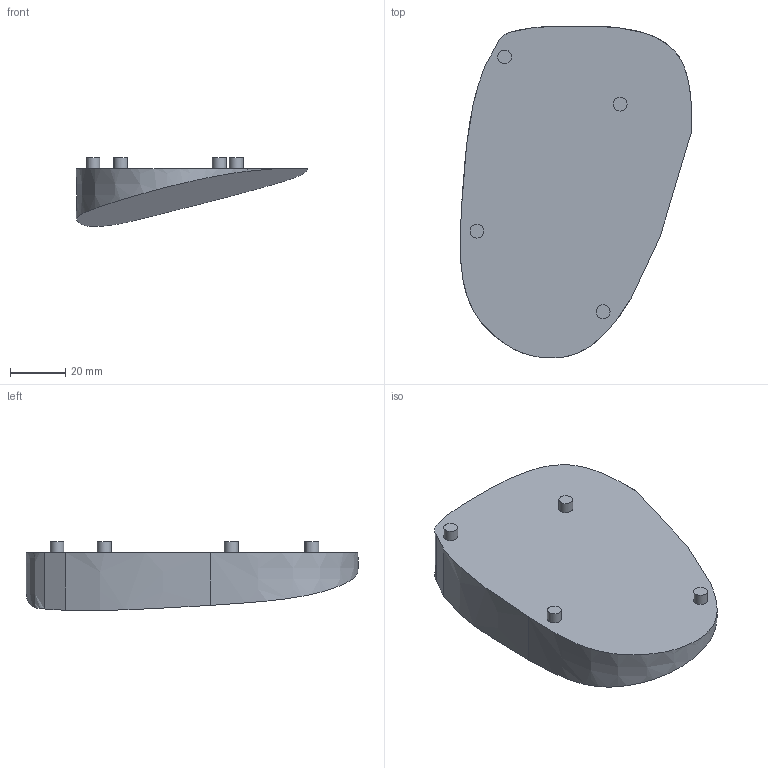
import cadquery as cq
import math

pin_diameter = 5.0
pin_height = 4.0

underside_tilt = 14.93

pin_centres = [
    (-26.0, 48.9),
    (15.85, 31.8),
    (-36.0, -14.2),
    (9.7, -43.4),
]

nose_corner = (-28.8, 53.4)
shoulder = (-33.0, 45.8)
left_side = (-41.7, -6.6)
front_flank = (19.8, -38.5)

knife_edge_front = (30.4, -16.0)
knife_edge_back = (41.75, 22.0)

back_curve = [
    (-25.9, 56.9),
    (-21.0, 58.6),
    (-10.9, 59.9),
    (1.5, 60.12),
    (12.0, 59.8),
    (22.8, 58.1),
    (30.8, 54.9),
    (37.2, 48.9),
    (40.4, 40.9),
    (41.7, 29.6),
]
front_curve = [
    (13.8, -47.4),
    (7.3, -54.1),
    (-0.7, -58.8),
    (-9.1, -60.12),
    (-18.9, -58.5),
    (-27.9, -53.6),
    (-35.2, -46.2),
    (-39.9, -36.7),
    (-41.9, -24.0),
]
left_curve = [
    (-40.4, 10.4),
    (-37.0, 33.3),
]

blank_depth = 30.0
cutter_size = 300.0


def make_blank():
    """Vertical-walled block with the free-form outline, hanging below Z = 0."""
    return (
        cq.Workplane("XY")
        .moveTo(*nose_corner)
        .spline(back_curve + [knife_edge_back], includeCurrent=True)
        .lineTo(*knife_edge_front)
        .lineTo(*front_flank)
        .spline(front_curve + [left_side], includeCurrent=True)
        .spline(left_curve + [shoulder], includeCurrent=True)
        .lineTo(*nose_corner)
        .close()
        .extrude(-blank_depth)
    )


def make_underside_cutter():
    """Block below the underside plane, which hinges on the knife edge."""
    edge = cq.Vector(*knife_edge_back) - cq.Vector(*knife_edge_front)
    edge_direction = edge.normalized()
    outward = edge_direction.cross(cq.Vector(0, 0, 1))
    tilt = math.radians(underside_tilt)
    upward_normal = cq.Vector(0, 0, math.cos(tilt)) - outward * math.sin(tilt)
    underside = cq.Plane(
        origin=knife_edge_front + (0,),
        xDir=edge_direction,
        normal=upward_normal,
    )
    return cq.Workplane(underside).rect(cutter_size, cutter_size).extrude(-blank_depth)


def make_pins():
    return (
        cq.Workplane("XY")
        .pushPoints(pin_centres)
        .circle(pin_diameter / 2)
        .extrude(pin_height)
    )


body = make_blank().cut(make_underside_cutter())
result = body.union(make_pins())